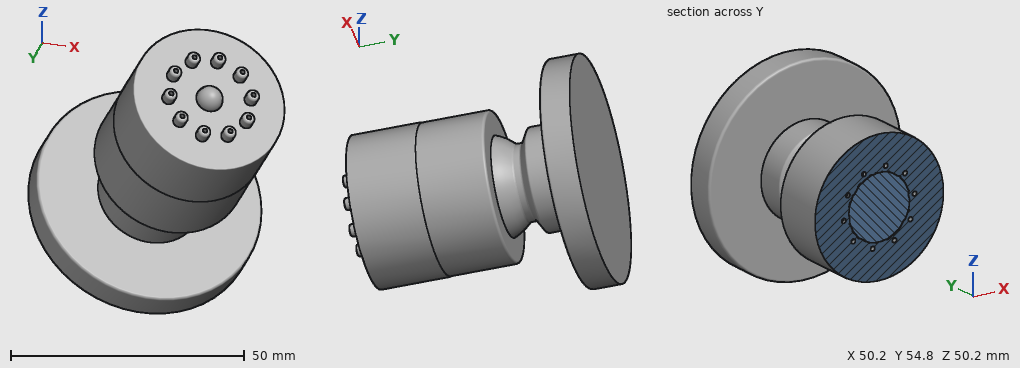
import cadquery as cq
import math


LENGTH = 54.75
EDGE_MARGIN = 0.05

FLANGE_DIAMETER = 50.2
FLANGE_THICKNESS = 6.75
FLANGE_ROUND = 0.6

COLLAR_RADIUS = 11.55
COLLAR_LENGTH = 6.85
COLLAR_ROUND = 0.55
NECK_RADIUS = 8.55
NECK_START = 15.45
NECK_ROUND = 0.55
SWIVEL_RADIUS = 12.0
SWIVEL_CENTRE = 25.55

HOUSING_START = 21.25
SPLIT_STATION = 36.45
FACE_STATION = 51.85
REAR_RADIUS = 16.75
REAR_BACK_ROUND = 0.6
FRONT_RADIUS = 16.85
HOUSING_EDGE_ROUND = 0.2

NOZZLE_COUNT = 10
NOZZLE_CIRCLE_RADIUS = 9.25
NOZZLE_START_ANGLE = 7.5
NOZZLE_RADIUS = 1.35
NOZZLE_LENGTH = 2.5
NOZZLE_ROUND = 0.6
BORE_RADIUS = 0.5
NOZZLE_TIP = FACE_STATION + NOZZLE_LENGTH
BORE_END = SWIVEL_CENTRE + math.sqrt(SWIVEL_RADIUS**2 - (NOZZLE_CIRCLE_RADIUS + BORE_RADIUS) ** 2)

CENTRE_BALL_RADIUS = LENGTH - FACE_STATION


def disc(start, end, radius):
    """Cylinder on the Y axis between two stations."""
    return cq.Workplane("XZ", origin=(0, -start, 0)).circle(radius).extrude(end - start)


def ball(station, radius):
    """Sphere centred on the Y axis."""
    return cq.Workplane("XY", origin=(0, -station, 0)).sphere(radius)


def edges_between(body, start, end):
    """Edges of a body that lie wholly between two stations."""
    near = (-FLANGE_DIAMETER, -end - EDGE_MARGIN, -FLANGE_DIAMETER)
    far = (FLANGE_DIAMETER, -start + EDGE_MARGIN, FLANGE_DIAMETER)
    return body.edges(cq.selectors.BoxSelector(near, far, boundingbox=True))


def around_nozzle_circle(shape):
    """Copies of a shape standing on the Y axis, one at each nozzle place."""
    first = shape.translate((NOZZLE_CIRCLE_RADIUS, 0, 0))
    copies = cq.Workplane("XZ")
    for i in range(NOZZLE_COUNT):
        angle = NOZZLE_START_ANGLE + i * 360 / NOZZLE_COUNT
        copies = copies.add(first.rotate((0, 0, 0), (0, -1, 0), angle))
    return copies


def make_flange():
    return disc(0, FLANGE_THICKNESS, FLANGE_DIAMETER / 2).faces("<Y").edges().fillet(FLANGE_ROUND)


def make_ball_stud():
    collar_end = FLANGE_THICKNESS + COLLAR_LENGTH
    neck_end = SWIVEL_CENTRE - math.sqrt(SWIVEL_RADIUS**2 - NECK_RADIUS**2)
    profile = (
        cq.Workplane("XY")
        .moveTo(0, -FLANGE_THICKNESS)
        .lineTo(COLLAR_RADIUS, -FLANGE_THICKNESS)
        .lineTo(COLLAR_RADIUS, -collar_end)
        .lineTo(NECK_RADIUS, -NECK_START)
        .lineTo(NECK_RADIUS, -neck_end)
        .threePointArc((SWIVEL_RADIUS, -SWIVEL_CENTRE), (0, -SWIVEL_CENTRE - SWIVEL_RADIUS))
        .close()
    )
    stud = profile.revolve(360, (0, 0, 0), (0, 1, 0))
    stud = edges_between(stud, collar_end, collar_end).fillet(COLLAR_ROUND)
    return edges_between(stud, NECK_START, neck_end).fillet(NECK_ROUND)


def make_rear_housing(bores):
    body = disc(HOUSING_START, SPLIT_STATION, REAR_RADIUS)
    body = body.faces(">Y").edges().fillet(REAR_BACK_ROUND)
    body = body.faces("<Y").edges().fillet(HOUSING_EDGE_ROUND)
    body = body.cut(ball(SWIVEL_CENTRE, SWIVEL_RADIUS))
    for bore in bores.vals():
        body = body.cut(cq.Workplane(bore))
    return body


def make_front_housing(bores):
    body = disc(SPLIT_STATION, FACE_STATION, FRONT_RADIUS).edges().fillet(HOUSING_EDGE_ROUND)
    body = body.cut(ball(SWIVEL_CENTRE, SWIVEL_RADIUS))
    body = body.cut(ball(FACE_STATION, CENTRE_BALL_RADIUS))
    nozzle = disc(FACE_STATION, NOZZLE_TIP, NOZZLE_RADIUS).faces("<Y").edges().fillet(NOZZLE_ROUND)
    for copy in around_nozzle_circle(nozzle).vals():
        body = body.union(cq.Workplane(copy))
    for bore in bores.vals():
        body = body.cut(cq.Workplane(bore))
    return body


bores = around_nozzle_circle(disc(BORE_END, NOZZLE_TIP, BORE_RADIUS))
flange = make_flange()
ball_stud = make_ball_stud()
rear_housing = make_rear_housing(bores)
front_housing = make_front_housing(bores)
centre_ball = ball(FACE_STATION, CENTRE_BALL_RADIUS)

result = cq.Compound.makeCompound([
    flange.val(),
    ball_stud.val(),
    rear_housing.val(),
    front_housing.val(),
    centre_ball.val(),
])